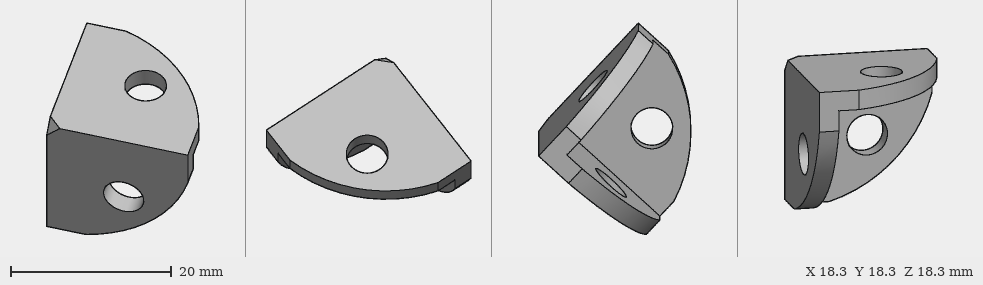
import cadquery as cq

side = 18.3
thickness = 2.5
arc_radius = 19.0
hole_diameter = 5.2
hole_offset = 10.0
corner_cut = 1.72

PLATE_PLANES = {
    "front": cq.Plane(origin=(0, 0, 0), xDir=(1, 0, 0), normal=(0, 1, 0)),
    "top": cq.Plane(origin=(0, 0, 0), xDir=(0, 1, 0), normal=(0, 0, -1)),
    "side": cq.Plane(origin=(0, 0, 0), xDir=(0, 0, -1), normal=(1, 0, 0)),
}


def rounded_plate(plane):
    """Square plate with its free corner rounded about the outer corner."""
    square = cq.Workplane(plane).rect(side, side, centered=False).extrude(thickness)
    disc = cq.Workplane(plane).circle(arc_radius).extrude(thickness)
    return square.intersect(disc)


def plate_hole(plane):
    """Cutter for the round hole through one plate."""
    return (
        cq.Workplane(plane)
        .center(hole_offset, hole_offset)
        .circle(hole_diameter / 2)
        .extrude(thickness)
    )


def corner_tip():
    """Tetrahedron at the outer corner, removed to leave a flat triangle."""
    corner = cq.Vector(0, 0, 0)
    on_x = cq.Vector(corner_cut, 0, 0)
    on_y = cq.Vector(0, corner_cut, 0)
    on_z = cq.Vector(0, 0, -corner_cut)
    triangles = [
        (corner, on_x, on_y),
        (corner, on_y, on_z),
        (corner, on_z, on_x),
        (on_x, on_y, on_z),
    ]
    faces = [cq.Face.makeFromWires(cq.Wire.makePolygon(points, close=True)) for points in triangles]
    return cq.Solid.makeSolid(cq.Shell.makeShell(faces))


body = cq.Workplane()
for plate_plane in PLATE_PLANES.values():
    body = body.union(rounded_plate(plate_plane))

for plate_plane in PLATE_PLANES.values():
    body = body.cut(plate_hole(plate_plane))

result = body.cut(cq.Workplane(corner_tip()))